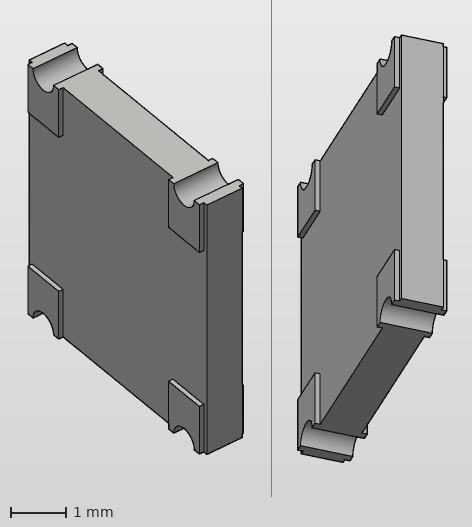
import cadquery as cq

body_width = 5.3
body_height = 5.8
overall_thickness = 1.01

pad_thickness = 0.1
pad_width = 0.92
pad_height = 1.11
pad_side_margin = 0.09

notch_radius = 0.305

body_thickness = overall_thickness - 2 * pad_thickness
pad_center_x = body_width / 2 - pad_side_margin - pad_width / 2
pad_center_z = (body_height - pad_height) / 2


def make_body():
    return cq.Workplane("XY").box(body_width, body_thickness, body_height)


def make_pad_pair(x_side, z_side):
    """Front and back pads of one corner, as one block running through the body."""
    block = cq.Workplane("XY").box(pad_width, overall_thickness, pad_height)
    return block.translate((x_side * pad_center_x, 0, z_side * pad_center_z))


def make_notch(x_side, z_side):
    """Cylinder along Y whose axis lies on the top or bottom face."""
    cylinder = cq.Workplane("XZ").circle(notch_radius).extrude(overall_thickness)
    return cylinder.translate(
        (x_side * pad_center_x, overall_thickness / 2, z_side * body_height / 2)
    )


result = make_body()
for x_side in (-1, 1):
    for z_side in (-1, 1):
        result = result.union(make_pad_pair(x_side, z_side))
        result = result.cut(make_notch(x_side, z_side))